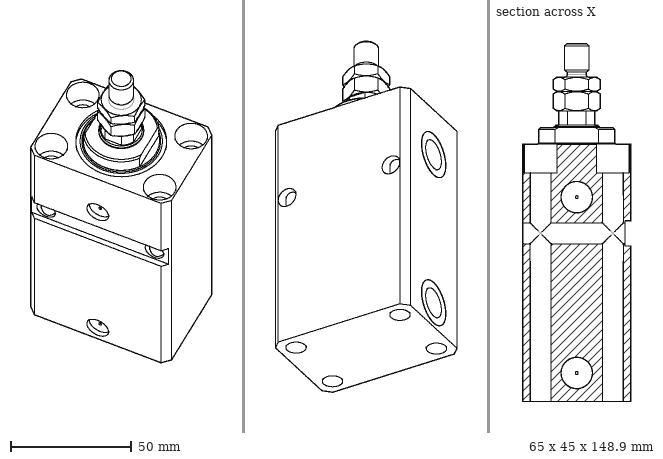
import cadquery as cq
import math

OVERALL_HEIGHT = 148.9

BLOCK_X = 65.0
BLOCK_Y = 45.0
BLOCK_Z = 107.0
CORNER_CHAMFER = 3.3

MOUNT_SPACING_X = 50.0
MOUNT_SPACING_Y = 30.1
MOUNT_DIAMETER = 8.5
COUNTERBORE_DIAMETER = 13.5
COUNTERBORE_DEPTH = 11.9

KEYWAY_HEIGHT = 10.4
KEYWAY_DEPTH = 2.4
KEYWAY_Z = BLOCK_Z - 37.1

PORT_HEIGHTS = (11.9, BLOCK_Z - 22.0)
PORT_DIAMETER = 13.0
PORT_DEPTH = 11.9
SPOTFACE_DIAMETER = 20.0
SPOTFACE_DEPTH = 0.1

POCKET_HEIGHTS = (7.5, BLOCK_Z - 22.0)
POCKET_DIAMETER = 10.0
POCKET_DEPTH = 2.2

PASSAGE_DIAMETER = 1.2
PASSAGE_DEPTH = 1.5

GLAND_DIAMETER = 37.8
GLAND_DEPTH = 11.9
GLAND_CHAMFER = 1.8
LIP_DIAMETER = 32.8
LIP_RISE = 0.5
LIP_CHAMFER = 0.5
COLLAR_DIAMETER = 31.7
COLLAR_RISE = 6.8
COLLAR_CHAMFER = 0.7
COLLAR_ACROSS_FLATS = 25.9

ROD_DIAMETER = 18.8
ROD_RISE = 7.9
ROD_CHAMFER = 0.6
NECK_DIAMETER = 16.8
NECK_ACROSS_FLATS = 15.0

HEX_ACROSS_FLATS = 17.0
HEX_CROWN_DIAMETER = 16.7
HEX_CROWN_HEIGHT = 1.0
NUT_HEIGHT = 8.0
SHOULDER_HEIGHT = 6.0

THREAD_DIAMETER = 10.3
THREAD_LENGTH = 11.0
THREAD_CHAMFER = 1.0
UNDERCUT_DIAMETER = 8.0
UNDERCUT_FILLET = 1.2
RUNOUT_HEIGHT = 0.9
UNDERCUT_LENGTH = 3.0

GLAND_BOTTOM = BLOCK_Z - GLAND_DEPTH
LIP_TOP = BLOCK_Z + LIP_RISE
COLLAR_TOP = BLOCK_Z + COLLAR_RISE
ROD_SHOULDER = BLOCK_Z + ROD_RISE
THREAD_BOTTOM = OVERALL_HEIGHT - THREAD_LENGTH
SHOULDER_TOP = THREAD_BOTTOM - UNDERCUT_LENGTH
SHOULDER_BOTTOM = SHOULDER_TOP - SHOULDER_HEIGHT
NUT_BOTTOM = SHOULDER_BOTTOM - NUT_HEIGHT


def cylinder(diameter, bottom, top):
    """Cylinder on the Z axis between two levels."""
    return cq.Workplane("XY").workplane(offset=bottom).circle(diameter / 2).extrude(top - bottom)


def crowned_hexagon(bottom, height):
    """Hexagonal prism with corners on the Y axis, its corners bevelled by cones at both ends."""
    corner_radius = HEX_ACROSS_FLATS / math.sqrt(3)
    crown_radius = HEX_CROWN_DIAMETER / 2
    top = bottom + height
    prism = (
        cq.Workplane("XY")
        .workplane(offset=bottom)
        .polygon(6, 2 * corner_radius)
        .extrude(height)
        .rotate((0, 0, 0), (0, 0, 1), 90)
    )
    envelope = (
        cq.Workplane("XZ")
        .moveTo(0, bottom)
        .lineTo(crown_radius, bottom)
        .lineTo(corner_radius, bottom + HEX_CROWN_HEIGHT)
        .lineTo(corner_radius, top - HEX_CROWN_HEIGHT)
        .lineTo(crown_radius, top)
        .lineTo(0, top)
        .close()
        .revolve(360, (0, 0), (0, 1))
    )
    return prism.intersect(envelope)


def face_hole(workplane, z, diameter, depth):
    """Cylinder running inward from a vertical face, centred on the face at height z."""
    return workplane.center(0, z).circle(diameter / 2).extrude(-depth)


def left_face():
    """Workplane on the -X face: its second axis is Z and its normal points outward."""
    return cq.Workplane(cq.Plane((-BLOCK_X / 2, 0, 0), xDir=(0, -1, 0), normal=(-1, 0, 0)))


def front_face():
    """Workplane on the -Y face: its second axis is Z and its normal points outward."""
    return cq.Workplane(cq.Plane((0, -BLOCK_Y / 2, 0), xDir=(1, 0, 0), normal=(0, -1, 0)))


def make_housing():
    body = cq.Workplane("XY").box(BLOCK_X, BLOCK_Y, BLOCK_Z, centered=(True, True, False))
    body = body.edges("|Z").chamfer(CORNER_CHAMFER)

    body = (
        body.faces(">Z")
        .workplane(origin=(0, 0, BLOCK_Z))
        .rect(MOUNT_SPACING_X, MOUNT_SPACING_Y, forConstruction=True)
        .vertices()
        .cboreHole(MOUNT_DIAMETER, COUNTERBORE_DIAMETER, COUNTERBORE_DEPTH)
    )

    keyway = front_face().center(0, KEYWAY_Z).rect(BLOCK_X, KEYWAY_HEIGHT).extrude(-KEYWAY_DEPTH)
    cross_holes = (
        front_face()
        .center(0, KEYWAY_Z)
        .rarray(MOUNT_SPACING_X, 1.5, 2, 1)
        .circle(MOUNT_DIAMETER / 2)
        .extrude(-BLOCK_Y)
    )
    body = body.cut(keyway).cut(cross_holes)

    for z in PORT_HEIGHTS:
        body = body.cut(face_hole(left_face(), z, SPOTFACE_DIAMETER, SPOTFACE_DEPTH))
        body = body.cut(face_hole(left_face(), z, PORT_DIAMETER, PORT_DEPTH))
        body = body.cut(face_hole(left_face(), z, PASSAGE_DIAMETER, PORT_DEPTH + PASSAGE_DEPTH))

    for z in POCKET_HEIGHTS:
        body = body.cut(face_hole(front_face(), z, POCKET_DIAMETER, POCKET_DEPTH))
        body = body.cut(face_hole(front_face(), z, PASSAGE_DIAMETER, POCKET_DEPTH + PASSAGE_DEPTH))

    gland_bore = cylinder(GLAND_DIAMETER, GLAND_BOTTOM, BLOCK_Z)
    return body.cut(gland_bore)


def make_gland():
    plug = cylinder(GLAND_DIAMETER, GLAND_BOTTOM, BLOCK_Z).faces(">Z").chamfer(GLAND_CHAMFER)
    lip = cylinder(LIP_DIAMETER, GLAND_BOTTOM, LIP_TOP).faces(">Z").chamfer(LIP_CHAMFER)
    collar = cylinder(COLLAR_DIAMETER, BLOCK_Z, COLLAR_TOP).faces(">Z").chamfer(COLLAR_CHAMFER)

    between_flats = (
        cq.Workplane("XY")
        .workplane(offset=LIP_TOP)
        .rect(COLLAR_ACROSS_FLATS, COLLAR_DIAMETER)
        .extrude(COLLAR_TOP - LIP_TOP)
    )
    wrench_collar = collar.intersect(between_flats)

    rod_bore = cylinder(ROD_DIAMETER, GLAND_BOTTOM, COLLAR_TOP)
    return plug.union(lip).union(wrench_collar).cut(rod_bore)


def make_rod():
    shaft = cylinder(ROD_DIAMETER, GLAND_BOTTOM, ROD_SHOULDER).faces(">Z").chamfer(ROD_CHAMFER)

    square = (
        cq.Workplane("XY")
        .workplane(offset=ROD_SHOULDER)
        .rect(NECK_ACROSS_FLATS, NECK_ACROSS_FLATS)
        .extrude(NUT_BOTTOM - ROD_SHOULDER)
    )
    neck = cylinder(NECK_DIAMETER, ROD_SHOULDER, NUT_BOTTOM).intersect(square)

    stud = cylinder(THREAD_DIAMETER, NUT_BOTTOM, SHOULDER_BOTTOM)
    shoulder = crowned_hexagon(SHOULDER_BOTTOM, SHOULDER_HEIGHT)

    undercut_radius = UNDERCUT_DIAMETER / 2
    thread_radius = THREAD_DIAMETER / 2
    fillet_middle = UNDERCUT_FILLET * (1 - math.sqrt(0.5))
    threaded_end = (
        cq.Workplane("XZ")
        .moveTo(0, SHOULDER_TOP)
        .lineTo(undercut_radius + UNDERCUT_FILLET, SHOULDER_TOP)
        .threePointArc(
            (undercut_radius + fillet_middle, SHOULDER_TOP + fillet_middle),
            (undercut_radius, SHOULDER_TOP + UNDERCUT_FILLET),
        )
        .lineTo(undercut_radius, THREAD_BOTTOM - RUNOUT_HEIGHT)
        .lineTo(thread_radius, THREAD_BOTTOM)
        .lineTo(thread_radius, OVERALL_HEIGHT - THREAD_CHAMFER)
        .lineTo(thread_radius - THREAD_CHAMFER, OVERALL_HEIGHT)
        .lineTo(0, OVERALL_HEIGHT)
        .close()
        .revolve(360, (0, 0), (0, 1))
    )
    return shaft.union(neck).union(stud).union(shoulder).union(threaded_end)


def make_lock_nut():
    stud_hole = cylinder(THREAD_DIAMETER, NUT_BOTTOM, SHOULDER_BOTTOM)
    return crowned_hexagon(NUT_BOTTOM, NUT_HEIGHT).cut(stud_hole)


housing = make_housing()
gland = make_gland()
rod = make_rod()
lock_nut = make_lock_nut()

result = cq.Compound.makeCompound([housing.val(), gland.val(), rod.val(), lock_nut.val()])